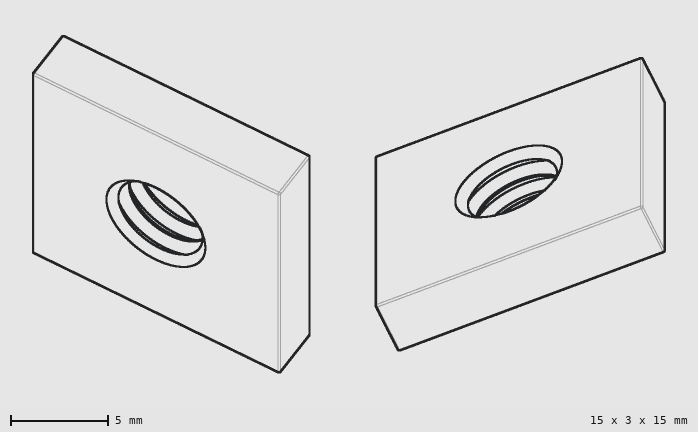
import cadquery as cq

side = 15.0
thickness = 3.0
edge_radius = 0.1

minor_radius = 2.5
thread_depth = 0.5
major_radius = minor_radius + thread_depth
front_y = -thickness / 2
back_y = thickness / 2

groove_width = 2 * thread_depth
land_width = 0.1
rear_root_y = back_y - groove_width
front_root_y = rear_root_y - groove_width - land_width


def make_plate():
    """Square plate with every outer edge lightly rounded."""
    return cq.Workplane("XY").box(side, thickness, side).edges().fillet(edge_radius)


def make_v_cutter(root_y):
    """Double cone about Y, widest at root_y, with 45 degree flanks down to the minor radius."""
    return (
        cq.Workplane("YZ")
        .moveTo(root_y - thread_depth, 0)
        .lineTo(root_y - thread_depth, minor_radius)
        .lineTo(root_y, major_radius)
        .lineTo(root_y + thread_depth, minor_radius)
        .lineTo(root_y + thread_depth, 0)
        .close()
        .revolve(360, (0, 0, 0), (1, 0, 0))
    )


def make_bore():
    """Plain through hole at the minor radius."""
    return cq.Workplane("XZ").circle(minor_radius).extrude(thickness / 2, both=True)


result = make_plate().cut(make_bore())
for v_center_y in (front_y, front_root_y, rear_root_y, back_y):
    result = result.cut(make_v_cutter(v_center_y))